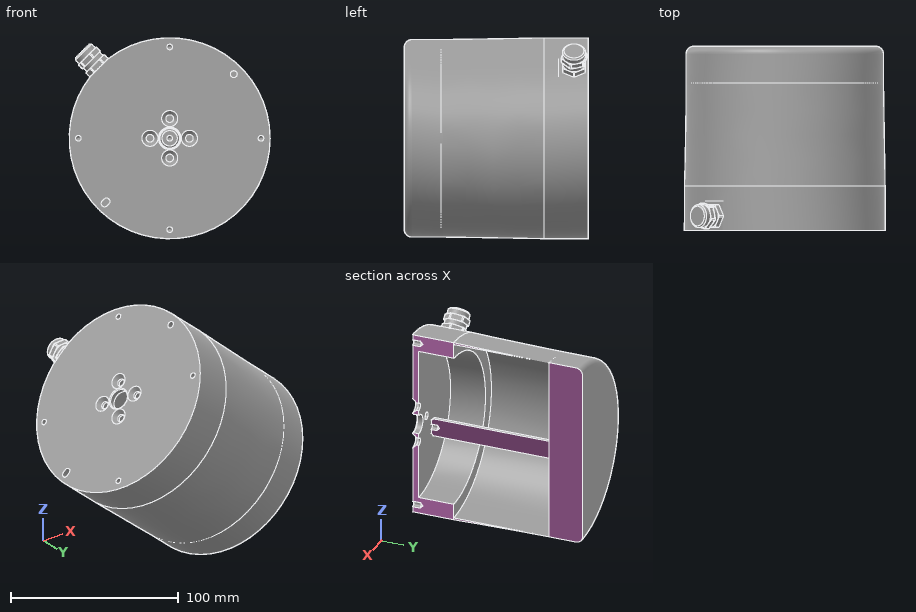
import cadquery as cq
import math


TOTAL_LENGTH = 110.0
BASE_RADIUS = 60.0
BASE_LENGTH = 26.6
COVER_RADIUS = 59.0
CONE_END = 86.8
COVER_EDGE_RADIUS = 4.8

PLATE_THICKNESS = 4.1
BASE_CAVITY_RADIUS = 49.2
COVER_CAVITY_RADIUS = COVER_RADIUS - 0.6
COVER_CAVITY_END = CONE_END + 1.3

HOLE_COUNT = 4
BORE_RADIUS = 6.1
BORE_CHAMFER = 0.6
SCREW_CIRCLE_RADIUS = 11.8
SCREW_HOLE_RADIUS = 2.3
SCREW_HEAD_RADIUS = 4.8
TAPPED_CIRCLE_RADIUS = 54.5
TAPPED_RADIUS = 1.7
TAPPED_DEPTH = 4.8
PIN_CIRCLE_RADIUS = 54.1
PIN_HOLE_ANGLE = 45.0
PIN_RADIUS = 2.0
PIN_DEPTH = 6.0
SLOT_TRAVEL = 1.7

SHAFT_RADIUS = 5.9
SHAFT_START = 12.0
SHAFT_CHAMFER = 1.3
CENTRE_HOLE_RADIUS = 1.7
CENTRE_HOLE_DEPTH = 3.6

GLAND_ANGLE = math.radians(135.0)
GLAND_Y = 8.6
FLAT_LENGTH = 17.8
FLAT_HALF_WIDTH = 7.5
FLAT_DISTANCE = math.sqrt(BASE_RADIUS**2 - FLAT_HALF_WIDTH**2)
GLAND_RADIUS = 6.8
GLAND_LENGTH = 14.2
GLAND_CHAMFER = 1.0
HEX_ACROSS_FLATS = 13.9
HEX_ACROSS_CORNERS = HEX_ACROSS_FLATS / math.cos(math.pi / 6)
HEX_CORNER_RADIUS = 7.8
HEX_LENGTH = 3.5
UPPER_HEX_START = 6.5
UPPER_HEX_TURN = -15.0



def cylinder(radius, start, end):
    """Cylinder on the Y axis between two Y positions."""
    plane = cq.Plane(origin=(0, start, 0), xDir=(1, 0, 0), normal=(0, 1, 0))
    return cq.Workplane(plane).circle(radius).extrude(end - start)


def turned(profile):
    """Solid of revolution about Y from a closed outline in the XY plane."""
    return profile.close().revolve(360, (0, 0, 0), (0, 1, 0))


def blind_hole(radius, depth):
    """Cutting tool from Y = 0 with a 90 degree drill tip."""
    points = [(0, 0), (radius, 0), (radius, depth), (0, depth + radius)]
    return turned(cq.Workplane("XY").polyline(points))


def countersunk_hole(head_radius, hole_radius):
    """Cutting tool through the mounting plate with a 90 degree countersink at Y = 0."""
    points = [
        (0, 0),
        (head_radius, 0),
        (hole_radius, head_radius - hole_radius),
        (hole_radius, PLATE_THICKNESS),
        (0, PLATE_THICKNESS),
    ]
    return turned(cq.Workplane("XY").polyline(points))


def place(tool, circle_radius, degrees):
    """Move a tool from the Y axis onto a circle; the angle runs from +X towards +Z."""
    angle = math.radians(degrees)
    return tool.translate((circle_radius * math.cos(angle), 0, circle_radius * math.sin(angle)))


def gland_workplane(height):
    """Workplane across the gland axis, at a height above the flat; local y runs along Y."""
    out_x = math.cos(GLAND_ANGLE)
    out_z = math.sin(GLAND_ANGLE)
    distance = FLAT_DISTANCE + height
    plane = cq.Plane(
        origin=(distance * out_x, GLAND_Y, distance * out_z),
        xDir=(out_z, 0, -out_x),
        normal=(out_x, 0, out_z),
    )
    return cq.Workplane(plane)



def gland_flat():
    """Material removed from the rim to give the gland its flat seat."""
    removed_height = BASE_RADIUS - FLAT_DISTANCE
    flat_centre = FLAT_LENGTH / 2 - GLAND_Y
    outline = gland_workplane(0).center(0, flat_centre).rect(2 * BASE_RADIUS, FLAT_LENGTH)
    return outline.extrude(removed_height)


def pin_slot():
    """Slot on the Y axis, elongated along X."""
    half_travel = SLOT_TRAVEL / 2
    slot = cylinder(PIN_RADIUS, 0, PIN_DEPTH).translate((half_travel, 0, 0))
    slot = slot.union(cylinder(PIN_RADIUS, 0, PIN_DEPTH).translate((-half_travel, 0, 0)))
    middle = cq.Workplane("XY").box(SLOT_TRAVEL, PIN_DEPTH, 2 * PIN_RADIUS, centered=(True, False, True))
    return slot.union(middle)


def make_base():
    base = cylinder(BASE_RADIUS, 0, BASE_LENGTH)
    base = base.cut(cylinder(BASE_CAVITY_RADIUS, PLATE_THICKNESS, BASE_LENGTH))
    base = base.cut(countersunk_hole(BORE_RADIUS + BORE_CHAMFER, BORE_RADIUS))

    screw_hole = countersunk_hole(SCREW_HEAD_RADIUS, SCREW_HOLE_RADIUS)
    tapped_hole = blind_hole(TAPPED_RADIUS, TAPPED_DEPTH)
    for i in range(HOLE_COUNT):
        degrees = i * 360 / HOLE_COUNT
        base = base.cut(place(screw_hole, SCREW_CIRCLE_RADIUS, degrees))
        base = base.cut(place(tapped_hole, TAPPED_CIRCLE_RADIUS, degrees))

    pin_hole = cylinder(PIN_RADIUS, 0, PIN_DEPTH)
    base = base.cut(place(pin_hole, PIN_CIRCLE_RADIUS, PIN_HOLE_ANGLE))
    radial_slot = pin_slot().rotate((0, 0, 0), (0, 1, 0), -PIN_HOLE_ANGLE)
    base = base.cut(place(radial_slot, PIN_CIRCLE_RADIUS, PIN_HOLE_ANGLE + 180))
    return base.cut(gland_flat())



def make_cover():
    profile = (
        cq.Workplane("XY")
        .moveTo(0, BASE_LENGTH)
        .lineTo(BASE_RADIUS, BASE_LENGTH)
        .lineTo(COVER_RADIUS, CONE_END)
        .lineTo(COVER_RADIUS, TOTAL_LENGTH - COVER_EDGE_RADIUS)
        .radiusArc((COVER_RADIUS - COVER_EDGE_RADIUS, TOTAL_LENGTH), -COVER_EDGE_RADIUS)
        .lineTo(0, TOTAL_LENGTH)
    )
    return turned(profile).cut(cylinder(COVER_CAVITY_RADIUS, BASE_LENGTH, COVER_CAVITY_END))



def make_shaft():
    shaft = cylinder(SHAFT_RADIUS, SHAFT_START, COVER_CAVITY_END)
    shaft = shaft.faces("<Y").chamfer(SHAFT_CHAMFER)
    centre_hole = blind_hole(CENTRE_HOLE_RADIUS, CENTRE_HOLE_DEPTH)
    return shaft.cut(centre_hole.translate((0, SHAFT_START, 0)))



def make_hexagon(height, turn):
    """Hexagonal collar with its corners turned down to a cylinder."""
    outline = gland_workplane(height).transformed(rotate=(0, 0, turn)).polygon(6, HEX_ACROSS_CORNERS)
    corner_limit = gland_workplane(height).circle(HEX_CORNER_RADIUS).extrude(HEX_LENGTH)
    return outline.extrude(HEX_LENGTH).intersect(corner_limit)


def make_gland():
    body = gland_workplane(0).circle(GLAND_RADIUS).extrude(GLAND_LENGTH)
    tip = body.faces(cq.selectors.DirectionMinMaxSelector(cq.Vector(-1, 0, 1)))
    body = tip.chamfer(GLAND_CHAMFER)
    lower_hexagon = make_hexagon(0, 0)
    upper_hexagon = make_hexagon(UPPER_HEX_START, UPPER_HEX_TURN)
    return body.union(lower_hexagon).union(upper_hexagon)


base = make_base()
cover = make_cover()
shaft = make_shaft()
gland = make_gland()

result = cq.Compound.makeCompound([base.val(), cover.val(), shaft.val(), gland.val()])